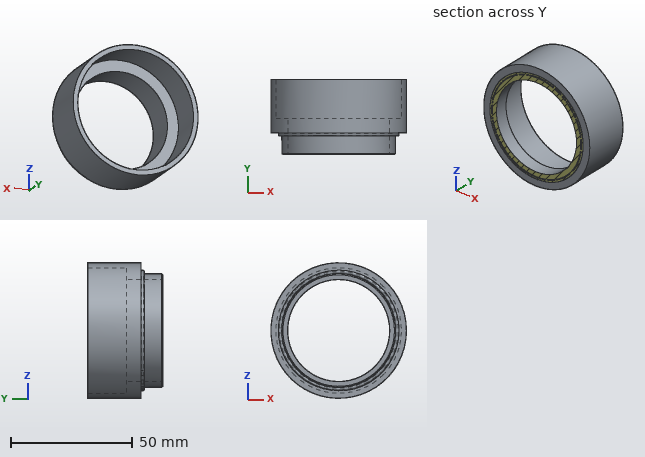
import cadquery as cq

body_diameter = 56.0
bore_diameter = 42.0
neck_diameter = 47.0
body_length = 22.0
neck_length = 9.0
socket_diameter = 51.8
socket_depth = 16.0
neck_chamfer = 0.5
bead_section_diameter = 1.5
bead_overlap = 0.1
bead_outer_diameter = 49.8

bead_radius = bead_section_diameter / 2
bead_centre_radius = bead_outer_diameter / 2 - bead_radius


def cylinder(diameter, start_y, end_y):
    """Solid cylinder on the Y axis between two stations."""
    return (
        cq.Workplane("XZ", origin=(0, start_y, 0))
        .circle(diameter / 2)
        .extrude(start_y - end_y)
    )


def make_body():
    """Wide rear cylinder."""
    return cylinder(body_diameter, 0, body_length)


def make_neck():
    """Narrow front spigot with a chamfered outer rim, rooted inside the body."""
    neck = cylinder(neck_diameter, -neck_length, body_length)
    return neck.faces("<Y").edges().chamfer(neck_chamfer)


def make_bead():
    """Round bead in the corner between neck and shoulder, sunk slightly into the shoulder."""
    return (
        cq.Workplane("XY")
        .center(-bead_centre_radius, bead_overlap - bead_radius)
        .circle(bead_radius)
        .revolve(360, (bead_centre_radius, 0), (bead_centre_radius, 1))
    )


def make_bore():
    """Through bore, opening into a wider socket at the rear end."""
    bore = cylinder(bore_diameter, -neck_length, body_length)
    socket = cylinder(socket_diameter, body_length - socket_depth, body_length)
    return bore.union(socket)


result = make_body().union(make_neck()).union(make_bead()).cut(make_bore())